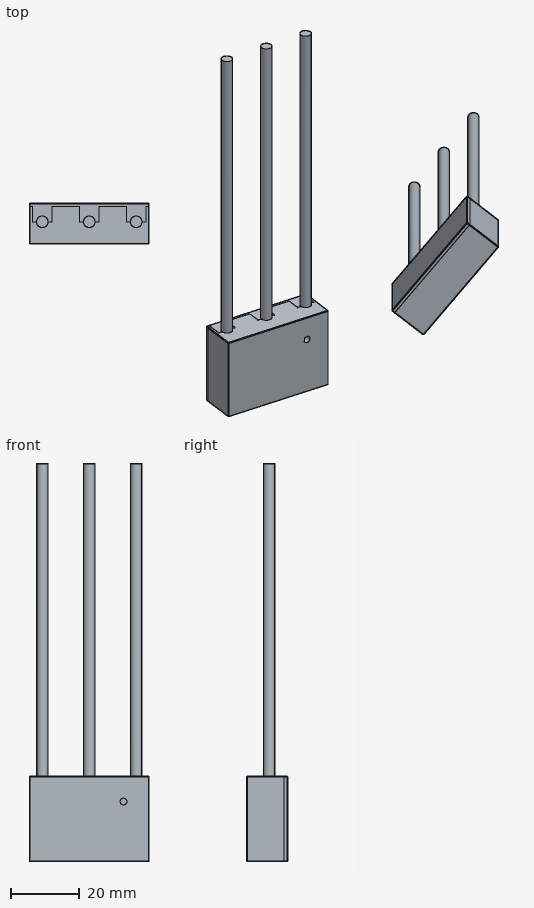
import cadquery as cq

width = 35.0
depth = 12.0
total_height = 116.2
housing_height = 25.0

lid_thickness = 1.0
tab_width = 5.7
tab_reach = 5.5
lid_front = depth / 2 - lid_thickness
tab_front = depth / 2 - tab_reach

wire_diameter = 3.4
wire_pitch = 13.7
wire_positions = [-wire_pitch, 0, wire_pitch]
insertion_depth = 11.6
insertion_floor = housing_height - insertion_depth

hole_diameter = 2.0
hole_depth = 2.3
hole_x = 10.0
hole_below_top = 7.4

edge_chamfer = 0.2


def make_wire(x):
    """A straight round wire, standing on the floor of its socket."""
    return (
        cq.Workplane("XY", origin=(x, tab_front, insertion_floor))
        .circle(wire_diameter / 2)
        .extrude(total_height - insertion_floor)
    )


def make_tab(x):
    """A rectangular tab, from the front of the lid plate to the wire axis."""
    return (
        cq.Workplane("XY", origin=(x, tab_front, insertion_floor))
        .box(tab_width, lid_front - tab_front, insertion_depth, centered=(True, False, False))
    )


def make_block():
    """The outer shape shared by the housing and the lid, with its edges broken."""
    return (
        cq.Workplane("XY")
        .box(width, depth, housing_height, centered=(True, True, False))
        .edges()
        .chamfer(edge_chamfer)
    )


def make_lid_space():
    """A slab that covers everything behind the front of the lid plate."""
    return (
        cq.Workplane("XY", origin=(0, lid_front, 0))
        .box(width, lid_thickness, housing_height, centered=(True, False, False))
    )


def make_lid():
    """The back plate of the block with its tabs, grooved around the wires."""
    lid = make_block().intersect(make_lid_space())
    for x in wire_positions:
        lid = lid.union(make_tab(x))
    for x in wire_positions:
        lid = lid.cut(make_wire(x))
    return lid


def make_housing():
    """The block in front of the lid, with tab pockets, wire sockets and the front hole."""
    housing = make_block().cut(make_lid_space())
    for x in wire_positions:
        housing = housing.cut(make_tab(x)).cut(make_wire(x))
    front_hole = (
        cq.Workplane("XZ", origin=(hole_x, -depth / 2, housing_height - hole_below_top))
        .circle(hole_diameter / 2)
        .extrude(-hole_depth)
    )
    return housing.cut(front_hole)


housing = make_housing()
lid = make_lid()
wires = [make_wire(x) for x in wire_positions]

result = cq.Compound.makeCompound([housing.val(), lid.val(), *[wire.val() for wire in wires]])